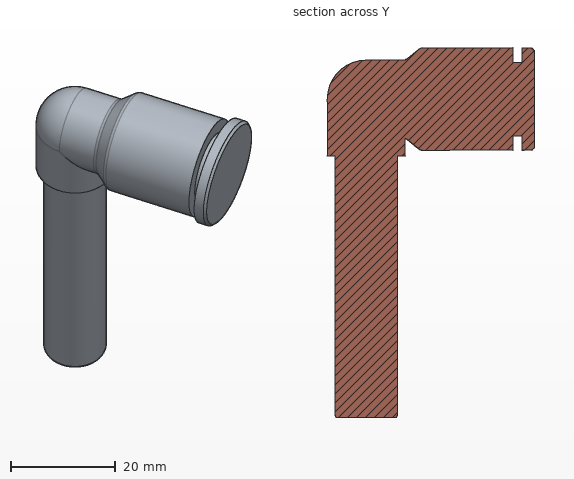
import cadquery as cq

total_length = 39.7
total_height = 70.75

elbow_radius = 7.5
elbow_drop = 10.9

stem_radius = 6.0
stem_chamfer_height = 0.4
stem_chamfer_inset = 0.2

body_radius = 9.8
cone_start = 7.5
cone_end = 10.4
body_end = 28.1
cone_blend_radius = 1.0

sleeve_radius = 7.1
flange_width = 22.5
flange_height = 19.6
flange_start = 29.8
flange_end = total_length - elbow_radius
flange_chamfer = 0.5

stem_length = total_height - body_radius


def make_elbow():
    """Vertical leg closed by a spherical corner."""
    leg = cq.Workplane("XY").circle(elbow_radius).extrude(-elbow_drop)
    corner = cq.Workplane("XY").sphere(elbow_radius)
    return leg.union(corner)


def make_stem():
    """Plain round stem with a small lead-in at its lower end."""
    stem = cq.Workplane("XY").circle(stem_radius).extrude(-stem_length)
    return stem.faces("<Z").chamfer(stem_chamfer_height, stem_chamfer_inset)


def make_body():
    """Horizontal leg of the elbow flaring through a blended cone into the socket."""
    body = (
        cq.Workplane("XZ")
        .lineTo(0, elbow_radius)
        .lineTo(cone_start, elbow_radius)
        .lineTo(cone_end, body_radius)
        .lineTo(body_end, body_radius)
        .lineTo(body_end, 0)
        .close()
        .revolve(360, (0, 0, 0), (1, 0, 0))
    )
    cone_edges = cq.selectors.BoxSelector(
        (cone_start - cone_blend_radius, -body_radius, -body_radius),
        (cone_end + cone_blend_radius, body_radius, body_radius),
    )
    return body.edges("%CIRCLE").edges(cone_edges).fillet(cone_blend_radius)


def make_collar():
    """Sleeve leaving the socket and the oval flange at its outer end."""
    sleeve = (
        cq.Workplane("YZ", origin=(body_end, 0, 0))
        .circle(sleeve_radius)
        .extrude(flange_start - body_end)
    )
    flange = (
        cq.Workplane("YZ", origin=(flange_start, 0, 0))
        .ellipse(flange_width / 2, flange_height / 2)
        .extrude(flange_end - flange_start)
        .faces(">X")
        .chamfer(flange_chamfer)
    )
    return sleeve.union(flange)


result = make_elbow().union(make_stem()).union(make_body()).union(make_collar())